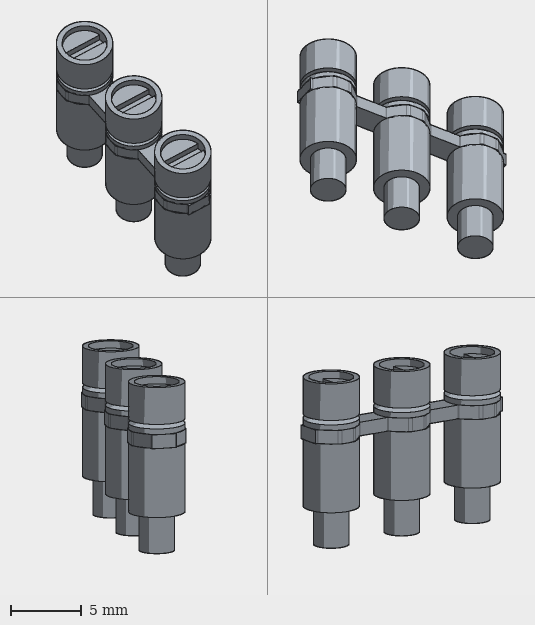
import cadquery as cq

LENGTH = 16.2
OUTER_DIAMETER = 4.0
OUTER_RADIUS = OUTER_DIAMETER / 2
STATION_COUNT = 3
PITCH = (LENGTH - OUTER_DIAMETER) / (STATION_COUNT - 1)
STATION_X = [(i - (STATION_COUNT - 1) / 2) * PITCH for i in range(STATION_COUNT)]

SCREW_TIP = 0.0
SLEEVE_BOTTOM = 2.79
BAR_BOTTOM = 7.8
BAR_THICKNESS = 1.0
BAR_TOP = BAR_BOTTOM + BAR_THICKNESS
FLANGE_TOP = 9.2
CONE_TOP = 9.45
HEAD_BOTTOM = 9.53
CAP_TOP = 12.2

SHANK_RADIUS = 1.26
NECK_RADIUS = 1.09
HEAD_RADIUS = 1.59
HEAD_RECESS = 0.52
HEAD_TOP = CAP_TOP - HEAD_RECESS
SLOT_WIDTH = 0.71
SLOT_DEPTH = 0.52

STRIP_HALF_WIDTH = 0.89
SHOULDER_HALF_LENGTH = 1.83
SHOULDER_FLAT_HALF_WIDTH = 0.65
SHOULDER_CORNER_RADIUS = 0.37
STRIP_CORNER_RADIUS = 0.08
TOLERANCE = 0.002


def make_tube(bore_radius, bottom, top):
    """Upright round tube of the common outer diameter, on the Z axis."""
    base = cq.Workplane("XY").workplane(offset=bottom)
    return base.circle(OUTER_RADIUS).circle(bore_radius).extrude(top - bottom)


def make_sleeve():
    """Spacer sleeve on the screw shank, below the bar."""
    return make_tube(SHANK_RADIUS, SLEEVE_BOTTOM, BAR_BOTTOM)


def make_cap():
    """Collar around the screw head, standing above the head."""
    return make_tube(HEAD_RADIUS, HEAD_BOTTOM, CAP_TOP)


def make_screw():
    """Turned screw with a conical flange on the bar, a neck and a slotted head."""
    profile = [
        (0, SCREW_TIP),
        (SHANK_RADIUS, SCREW_TIP),
        (SHANK_RADIUS, BAR_TOP),
        (OUTER_RADIUS, BAR_TOP),
        (OUTER_RADIUS, FLANGE_TOP),
        (SHANK_RADIUS, CONE_TOP),
        (NECK_RADIUS, CONE_TOP),
        (NECK_RADIUS, HEAD_BOTTOM),
        (HEAD_RADIUS, HEAD_BOTTOM),
        (HEAD_RADIUS, HEAD_TOP),
        (0, HEAD_TOP),
    ]
    body = cq.Workplane("XZ").polyline(profile).close().revolve(360, (0, 0), (0, 1))
    slot_floor = cq.Workplane("XY").workplane(offset=HEAD_TOP - SLOT_DEPTH)
    slot = slot_floor.rect(SLOT_WIDTH, 2 * HEAD_RADIUS).extrude(SLOT_DEPTH)
    return body.cut(slot)


def make_shoulder():
    """Eight-sided widening of the bar with its four outermost corners rounded."""
    outline = [
        (SHOULDER_HALF_LENGTH, -STRIP_HALF_WIDTH),
        (SHOULDER_HALF_LENGTH, STRIP_HALF_WIDTH),
        (SHOULDER_FLAT_HALF_WIDTH, OUTER_RADIUS),
        (-SHOULDER_FLAT_HALF_WIDTH, OUTER_RADIUS),
        (-SHOULDER_HALF_LENGTH, STRIP_HALF_WIDTH),
        (-SHOULDER_HALF_LENGTH, -STRIP_HALF_WIDTH),
        (-SHOULDER_FLAT_HALF_WIDTH, -OUTER_RADIUS),
        (SHOULDER_FLAT_HALF_WIDTH, -OUTER_RADIUS),
    ]
    blank = cq.Workplane("XY").workplane(offset=BAR_BOTTOM).polyline(outline).close().extrude(BAR_THICKNESS)
    return blank.edges("|Z").edges(">Y or <Y").fillet(SHOULDER_CORNER_RADIUS)


def is_inner_corner(edge):
    """True for an upright edge where the strip side meets a shoulder."""
    center = edge.Center()
    on_strip_side = abs(abs(center.y) - STRIP_HALF_WIDTH) < TOLERANCE
    inside_ends = abs(center.x) < LENGTH / 2 - TOLERANCE
    return on_strip_side and inside_ends


def make_bar():
    """Bar joining all stations, with a close-fitting hole for each shank."""
    base = cq.Workplane("XY").workplane(offset=BAR_BOTTOM)
    bar = base.rect(LENGTH, 2 * STRIP_HALF_WIDTH).extrude(BAR_THICKNESS)
    shoulder = make_shoulder()
    for x in STATION_X:
        bar = bar.union(shoulder.translate((x, 0, 0)))
    bar = bar.edges("|Z").filter(is_inner_corner).fillet(STRIP_CORNER_RADIUS)
    centers = [(x, 0) for x in STATION_X]
    holes = base.pushPoints(centers).circle(SHANK_RADIUS).extrude(BAR_THICKNESS)
    return bar.cut(holes)


def place_at_stations(body):
    """One separate solid of the body at every station."""
    return [body.translate((x, 0, 0)).val() for x in STATION_X]


bar = make_bar()
sleeves = place_at_stations(make_sleeve())
screws = place_at_stations(make_screw())
caps = place_at_stations(make_cap())

result = cq.Compound.makeCompound([bar.val(), *sleeves, *screws, *caps])